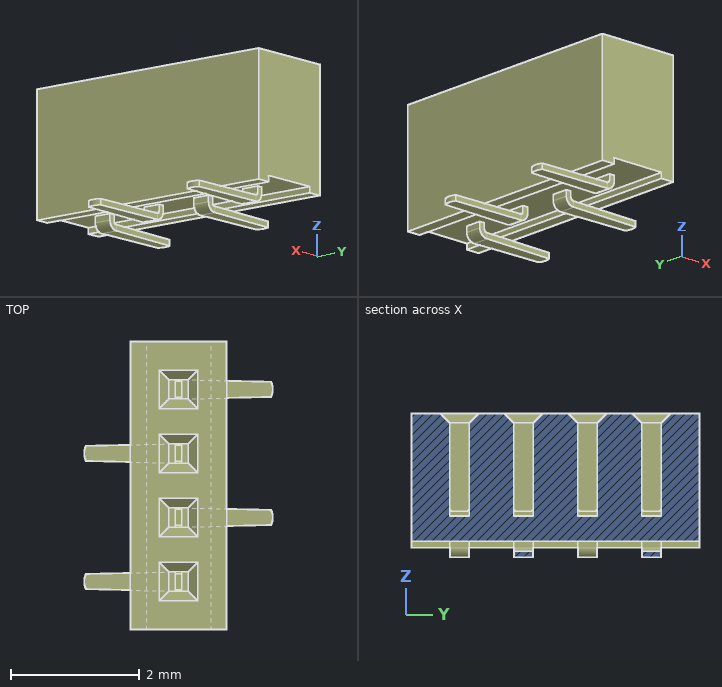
import cadquery as cq

PIN_COUNT = 4
PITCH = 1.0

HOUSING_WIDTH = 1.5
HOUSING_LENGTH = 4.5
HOUSING_HEIGHT = 2.1
CHANNEL_WIDTH = 1.0
CHANNEL_DEPTH = 0.1

FUNNEL_SIZE = 0.6
BORE_SIZE = 0.3
FUNNEL_DEPTH = 0.15
BORE_DEPTH = 1.6

STRIP_THICKNESS = 0.1
BEND_WIDTH = 0.3
POST_PROTRUSION = 0.1
CRADLE_FLOOR_WIDTH = 0.25
BEND_INNER_RADIUS = 0.05
LEAD_REACH = 1.475
LEAD_TIP_WIDTH = 0.24
TIP_BULGE = 0.03
STANDOFF = 0.15

HOUSING_BOTTOM = STANDOFF
HOUSING_TOP = HOUSING_BOTTOM + HOUSING_HEIGHT
CHANNEL_ROOF = HOUSING_BOTTOM + CHANNEL_DEPTH
BORE_FLOOR = HOUSING_TOP - BORE_DEPTH
POST_TOP = BORE_FLOOR + POST_PROTRUSION
CRADLE_DEPTH = (BORE_SIZE - CRADLE_FLOOR_WIDTH) / 2
BEND_OUTER_RADIUS = BEND_INNER_RADIUS + STRIP_THICKNESS
LEAD_START = STRIP_THICKNESS / 2 + BEND_INNER_RADIUS


def make_housing():
    """Rectangular block with a channel along the full length of its underside."""
    block = cq.Workplane("XY").box(
        HOUSING_WIDTH, HOUSING_LENGTH, HOUSING_HEIGHT, centered=(True, True, False)
    )
    channel = cq.Workplane("XY").box(
        CHANNEL_WIDTH, HOUSING_LENGTH, CHANNEL_DEPTH, centered=(True, True, False)
    )
    return block.cut(channel).translate((0, 0, HOUSING_BOTTOM))


def make_socket(y):
    """Cutting body for one socket: a tapered mouth above a blind bore."""
    funnel = (
        cq.Workplane("XY", origin=(0, y, HOUSING_TOP))
        .rect(FUNNEL_SIZE, FUNNEL_SIZE)
        .workplane(offset=-FUNNEL_DEPTH)
        .rect(BORE_SIZE, BORE_SIZE)
        .loft(ruled=True)
    )
    bore = (
        cq.Workplane("XY", origin=(0, y, BORE_FLOOR))
        .rect(BORE_SIZE, BORE_SIZE)
        .extrude(BORE_DEPTH - FUNNEL_DEPTH)
    )
    return funnel.union(bore)


def make_contact(y, side):
    """One contact: upright post, quarter bend and tapered lead towards side (+1 or -1) in X."""
    cradle_floor = POST_TOP - CRADLE_DEPTH
    post = (
        cq.Workplane("YZ", origin=(0, y, 0))
        .moveTo(-BORE_SIZE / 2, CHANNEL_ROOF)
        .lineTo(-BORE_SIZE / 2, POST_TOP)
        .lineTo(-CRADLE_FLOOR_WIDTH / 2, cradle_floor)
        .lineTo(CRADLE_FLOOR_WIDTH / 2, cradle_floor)
        .lineTo(BORE_SIZE / 2, POST_TOP)
        .lineTo(BORE_SIZE / 2, CHANNEL_ROOF)
        .close()
        .extrude(STRIP_THICKNESS / 2, both=True)
    )

    half_thickness = STRIP_THICKNESS / 2
    bend = (
        cq.Workplane("XZ", origin=(0, y, 0))
        .moveTo(-half_thickness, CHANNEL_ROOF)
        .lineTo(-half_thickness, BEND_OUTER_RADIUS)
        .radiusArc((LEAD_START, 0), -BEND_OUTER_RADIUS)
        .lineTo(LEAD_START, STRIP_THICKNESS)
        .radiusArc((half_thickness, BEND_OUTER_RADIUS), BEND_INNER_RADIUS)
        .lineTo(half_thickness, CHANNEL_ROOF)
        .close()
        .extrude(BEND_WIDTH / 2, both=True)
    )

    tip_start = LEAD_REACH - TIP_BULGE
    lead = (
        cq.Workplane("XY", origin=(0, y, 0))
        .moveTo(LEAD_START, -BEND_WIDTH / 2)
        .lineTo(tip_start, -LEAD_TIP_WIDTH / 2)
        .threePointArc((LEAD_REACH, 0), (tip_start, LEAD_TIP_WIDTH / 2))
        .lineTo(LEAD_START, BEND_WIDTH / 2)
        .close()
        .extrude(STRIP_THICKNESS)
    )

    contact = post.union(bend).union(lead)
    if side < 0:
        contact = contact.mirror("YZ")
    return contact


result = make_housing()
for index in range(PIN_COUNT):
    pin_y = (index - (PIN_COUNT - 1) / 2) * PITCH
    lead_side = 1 if index % 2 else -1
    result = result.cut(make_socket(pin_y)).union(make_contact(pin_y, lead_side))